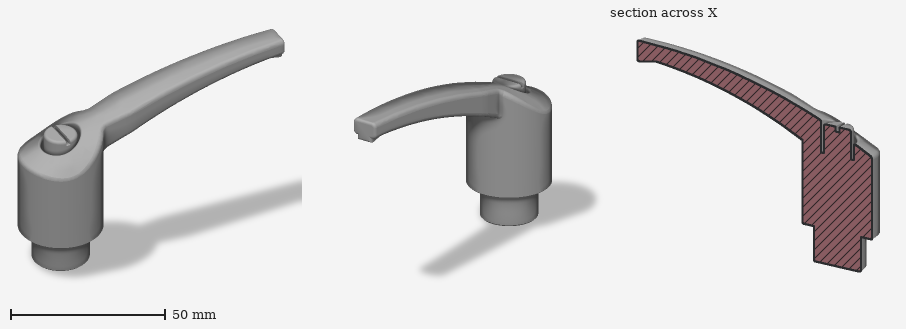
import cadquery as cq
import math

hub_diameter = 28.0
hub_bottom_z = 12.0
hub_bottom_chamfer = 0.3
sleeve_diameter = 19.0
sleeve_chamfer = 0.5
hub_radius = hub_diameter / 2

recess_diameter = 13.0
recess_floor_z = 38.0
recess_rim_fillet = 0.6
screw_diameter = 11.0
screw_top_z = 48.0
screw_edge_fillet = 1.0
slot_width = 1.5
slot_depth = 1.65

tip_y = 80.0
tip_z = 61.93
spine_radius = 215.0
hub_crown_radius = 18.6
tip_crown_radius = 150.0
crown_blend_start_y = 5.0
crown_half_width = 15.0
crown_section_ys = [-15.0, 0.0, 12.5, 25.0, 40.0, 60.0, tip_y]
rim_fillet = 1.5

tip_half_width = 4.5
shoulder_y = 22.3
shoulder_half_width = 6.8
shoulder_blend_radius = 21.0
neck_y = 13.4
neck_half_width = 5.75
root_y = 9.2
root_half_width = 8.6
root_blend_radius = 1.0

underside_tip = (tip_y, 56.3)
underside_middle = (40.5, 50.4)
underside_root = (9.0, 38.2)
arm_edge_fillet = 1.5
arm_end_fillet = 0.9

lip_start_y = 71.0
lip_bottom_z = 54.45
lip_half_width = 2.8
lip_top_z = 58.0

overshoot = 1.0
pick_slack = 0.5


def spine_z(y):
    """Height of the crown's centre line, an arc that is level at the arm tip."""
    return tip_z - spine_radius + math.sqrt(spine_radius**2 - (tip_y - y) ** 2)


def crown_radius(y):
    """Cross-curve radius: constant up to the blend start, then flattening towards the tip."""
    share = max(0.0, (y - crown_blend_start_y) / (tip_y - crown_blend_start_y))
    curvature = (1 - share) / hub_crown_radius + share / tip_crown_radius
    return 1 / curvature


def crown_section(y):
    """Closed section at a given y: flat below, an arc of the crown on top."""
    radius = crown_radius(y)
    top = spine_z(y)
    edge = top - radius + math.sqrt(radius**2 - crown_half_width**2)
    return (
        cq.Workplane("XZ", origin=(0, y, 0))
        .moveTo(-crown_half_width, 0)
        .lineTo(crown_half_width, 0)
        .lineTo(crown_half_width, edge)
        .threePointArc((0, top), (-crown_half_width, edge))
        .close()
        .wire()
        .val()
    )


def make_crown():
    """Block whose top is the crown surface, used to trim the hub and the arm."""
    sections = [crown_section(y) for y in crown_section_ys]
    return cq.Workplane(cq.Solid.makeLoft(sections))


def upright_edges_at(y):
    """Selector for the upright outline edges whose centres lie at a given y."""
    return cq.selectors.BoxSelector(
        (-hub_radius, y - pick_slack, tip_z / 2), (hub_radius, y + pick_slack, 2 * tip_z)
    )


def is_side_edge(edge):
    """True for the long upper and lower edges on either side of the arm."""
    middle = edge.Center()
    return abs(middle.x) > tip_half_width / 2 and root_y + pick_slack < middle.y < tip_y - pick_slack


def make_arm(crown):
    """Arm with rounded edges, flaring out where it meets the hub."""
    right_side = [
        (tip_half_width, tip_y),
        (shoulder_half_width, shoulder_y),
        (neck_half_width, neck_y),
        (root_half_width, root_y),
    ]
    left_side = [(-x, y) for x, y in reversed(right_side)]
    outline = (
        cq.Workplane("XY")
        .polyline(right_side + left_side)
        .close()
        .extrude(2 * tip_z)
        .edges(upright_edges_at(shoulder_y))
        .fillet(shoulder_blend_radius)
        .edges(upright_edges_at(neck_y))
        .fillet(root_blend_radius)
    )
    profile = (
        cq.Workplane("YZ")
        .moveTo(0, underside_root[1])
        .lineTo(*underside_root)
        .threePointArc(underside_middle, underside_tip)
        .lineTo(tip_y, tip_z + overshoot)
        .lineTo(0, tip_z + overshoot)
        .close()
        .extrude(hub_radius, both=True)
    )
    arm = outline.intersect(profile).intersect(crown)
    sides = [edge for edge in arm.edges("not |Z").vals() if is_side_edge(edge)]
    arm = arm.newObject(sides).fillet(arm_edge_fillet)
    return arm.faces(">Y").edges().fillet(arm_end_fillet)


def make_hub(crown):
    """Upright cylinder trimmed by the crown, with a rounded upper rim."""
    hub = cq.Workplane("XY").workplane(offset=hub_bottom_z).circle(hub_radius).extrude(tip_z)
    hub = hub.faces("<Z").chamfer(hub_bottom_chamfer).intersect(crown)
    above_chamfer_z = hub_bottom_z + 2 * hub_bottom_chamfer
    rim = cq.selectors.BoxSelector(
        (-hub_diameter, -hub_diameter, above_chamfer_z), (hub_diameter, hub_diameter, tip_z)
    )
    return hub.edges(rim).edges("not |Z").fillet(rim_fillet)


def make_lip():
    """Wedge that hooks down below the arm tip."""
    lip = (
        cq.Workplane("YZ")
        .polyline([
            (lip_start_y, underside_tip[1]),
            (tip_y, lip_bottom_z),
            (tip_y, lip_top_z),
            (lip_start_y, lip_top_z),
        ])
        .close()
        .extrude(lip_half_width, both=True)
    )
    return lip.faces(">Y").edges("not >Z").fillet(arm_end_fillet)


def make_sleeve():
    """Plain sleeve that carries the hub and ends at the recess floor."""
    return (
        cq.Workplane("XY")
        .circle(sleeve_diameter / 2)
        .extrude(recess_floor_z)
        .faces("<Z")
        .chamfer(sleeve_chamfer)
    )


def cut_recess(body):
    """Sink the round screw recess and soften its mouth."""
    recess = (
        cq.Workplane("XY")
        .workplane(offset=recess_floor_z)
        .circle(recess_diameter / 2)
        .extrude(tip_z)
    )
    body = body.cut(recess)
    reach = recess_diameter / 2 + pick_slack
    mouth = cq.selectors.BoxSelector(
        (-reach, -reach, recess_floor_z + pick_slack), (reach, reach, tip_z), boundingbox=True
    )
    return body.edges(mouth).fillet(recess_rim_fillet)


def make_screw():
    """Round screw head with a straight driver slot."""
    screw = (
        cq.Workplane("XY")
        .workplane(offset=hub_bottom_z)
        .circle(screw_diameter / 2)
        .extrude(screw_top_z - hub_bottom_z)
        .faces(">Z")
        .fillet(screw_edge_fillet)
    )
    slot = (
        cq.Workplane("XY")
        .workplane(offset=screw_top_z - slot_depth)
        .rect(screw_diameter, slot_width)
        .extrude(2 * slot_depth)
    )
    return screw.cut(slot)


crown = make_crown()
body = make_hub(crown).union(make_arm(crown))
body = cut_recess(body)
result = body.union(make_sleeve()).union(make_lip()).union(make_screw())